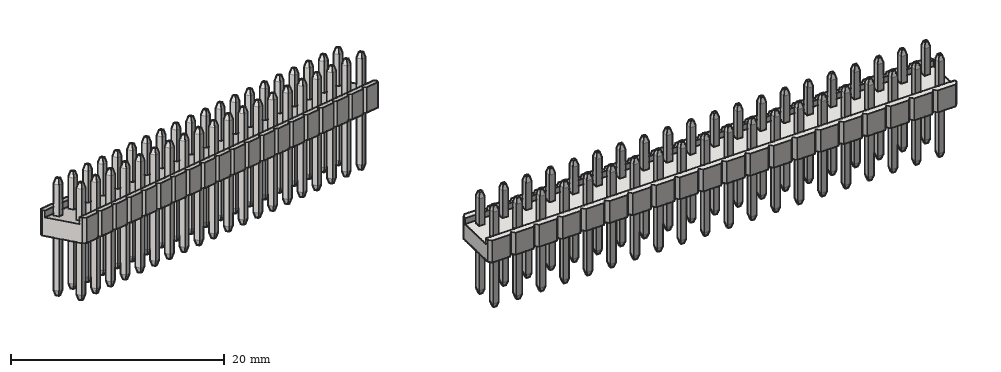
import cadquery as cq

row_count = 2
pins_per_row = 20
pitch = 2.55

body_width = row_count * pitch
body_length = pins_per_row * pitch
body_height = 2.5
notch_depth = 0.33
notch_half_width = 0.3
channel_width = 3.8
channel_depth = 0.65

pin_side = pitch / 4
pin_tip_side = pin_side / 2
tip_length = 0.55
pin_above_body = 3.0
pin_below_body = 6.0
pin_bottom = -pin_below_body
pin_top = body_height + pin_above_body


def make_cell():
    """One pitch of the body: a block whose four upright corners are cut off."""
    half_width = body_width / 2
    half_pitch = pitch / 2
    side_y = half_pitch - notch_half_width
    end_x = half_width - notch_depth
    right_side = [
        (end_x, -half_pitch),
        (half_width, -side_y),
        (half_width, side_y),
        (end_x, half_pitch),
    ]
    left_side = [(-x, -y) for x, y in right_side]
    return cq.Workplane("XY").polyline(right_side + left_side).close().extrude(body_height)


def make_body():
    """Row of cells joined end to end, with V notches between them and a channel along the top."""
    cell = make_cell()
    first_y = (pitch - body_length) / 2
    body = cell.translate((0, first_y, 0))
    for index in range(1, pins_per_row):
        body = body.union(cell.translate((0, first_y + index * pitch, 0)))
    channel = (
        cq.Workplane("XY")
        .workplane(offset=body_height - channel_depth)
        .rect(channel_width, body_length)
        .extrude(channel_depth)
    )
    return body.cut(channel)


def make_tip(start_z, direction):
    """Tapered pin end growing from start_z, upward (+1) or downward (-1)."""
    return (
        cq.Workplane("XY")
        .workplane(offset=start_z)
        .rect(pin_side, pin_side)
        .workplane(offset=direction * tip_length)
        .rect(pin_tip_side, pin_tip_side)
        .loft()
    )


def make_pin():
    """Square pin with a tapered tip at both ends."""
    shank_bottom = pin_bottom + tip_length
    shank_top = pin_top - tip_length
    shank = (
        cq.Workplane("XY")
        .workplane(offset=shank_bottom)
        .rect(pin_side, pin_side)
        .extrude(shank_top - shank_bottom)
    )
    return shank.union(make_tip(shank_top, 1)).union(make_tip(shank_bottom, -1))


pin_positions = cq.Workplane("XY").rarray(pitch, pitch, row_count, pins_per_row)
pin_shape = make_pin().val()
pins = pin_positions.eachpoint(lambda location: pin_shape.located(location))

result = make_body().union(pins)